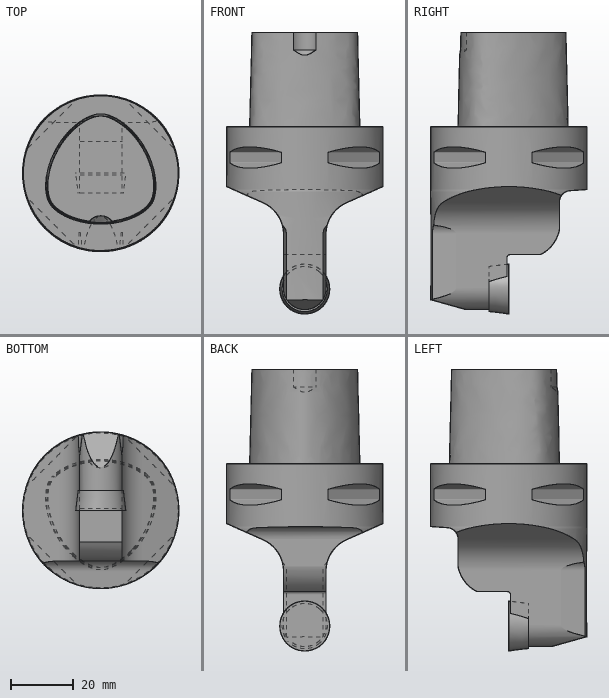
import cadquery as cq
import math


shank_length = 30.0
shank_base_radius = 17.6
shank_top_radius = 16.9
lobe_height = 1.35
outline_points = 48

notch_radius = 4.5
notch_center_y = -18.1
notch_depth = 5.6
notch_cone_height = 3.5

flange_radius = 25.0
flange_height = 20.25
flange_chamfer = 0.3
neck_top_radius = 25.1
neck_bottom_radius = 25.0
neck_step_height = 0.6

slot_count = 4
slot_floor_distance = 22.1
slot_floor_height = 3.3
slot_mouth_height = 6.8
slot_center_z = -10.0
slot_corner_radius = 0.4

blade_half_width = 6.8
tip_center_z = -51.75
flare_start_z = -34.4
flare_radius = 10.8
flare_slope = math.radians(24)

ledge_drop = 0.4
blade_back_y = 16.2
root_fillet = 3.6
back_arc_top_z = -33.1
back_arc_middle = (14.4, -37.35)
shelf_y = 10.2
shelf_z = -41.0
seat_wall_y = -0.5
shelf_fillet = 1.0
tip_slope_start_y = -13.8
tip_slope_end_z = -55.4

relief_start_y = -16.8
relief_angle = math.degrees(math.atan2(1.1, 8.5))
relief_end_radius = 3.7

insert_radius = 8.0
insert_thickness = 6.4
insert_flank_angle = math.radians(7)

insert_tip_z = shank_length - 90.0
insert_center_z = insert_tip_z + insert_radius
blade_bottom_z = tip_center_z - blade_half_width
clearance = 9.0


def lobed_point(angle, mean_radius):
    """Point on a three-lobed curve whose support distance is mean + lobe * cos(3a)."""
    support = mean_radius + lobe_height * math.cos(3 * angle)
    slope = -3 * lobe_height * math.sin(3 * angle)
    along = support * math.cos(angle) - slope * math.sin(angle)
    across = support * math.sin(angle) + slope * math.cos(angle)
    return (-across, along)


def lobed_outline(mean_radius):
    step = 2 * math.pi / outline_points
    return [lobed_point(i * step, mean_radius) for i in range(outline_points)]


def make_shank():
    shank = (
        cq.Workplane("XY")
        .spline(lobed_outline(shank_base_radius), periodic=True).close()
        .workplane(offset=shank_length)
        .spline(lobed_outline(shank_top_radius), periodic=True).close()
        .loft(ruled=True)
    )
    return shank.cut(make_notch())


def make_notch():
    """Blind drilled hole with a conical end, open to the shank side."""
    floor_z = shank_length - notch_depth
    return (
        cq.Workplane("XZ")
        .moveTo(0, floor_z - notch_cone_height)
        .lineTo(notch_radius, floor_z)
        .lineTo(notch_radius, shank_length + clearance)
        .lineTo(0, shank_length + clearance)
        .close()
        .revolve(360, (0, 0, 0), (0, 1, 0))
        .translate((0, notch_center_y, 0))
    )


def make_turned_blank():
    """Flange and neck as one turned shape before the blade is formed."""
    return (
        cq.Workplane("XZ")
        .lineTo(flange_radius - flange_chamfer, 0)
        .lineTo(flange_radius, -flange_chamfer)
        .lineTo(flange_radius, -flange_height)
        .lineTo(neck_top_radius, -flange_height - neck_step_height)
        .lineTo(neck_bottom_radius, blade_bottom_z)
        .lineTo(0, blade_bottom_z)
        .close()
        .revolve(360, (0, 0, 0), (0, 1, 0))
    )


def make_front_envelope():
    """Flared blade outline in XZ, extended through the full depth in Y."""
    center_x = blade_half_width + flare_radius

    def flare_point(turn):
        return (center_x - flare_radius * math.cos(turn), flare_start_z + flare_radius * math.sin(turn))

    full_turn = math.pi / 2 - flare_slope
    mid_x, mid_z = flare_point(full_turn / 2)
    end_x, end_z = flare_point(full_turn)
    outer_x = flange_radius + clearance
    outer_z = end_z + (outer_x - end_x) * math.tan(flare_slope)
    return (
        cq.Workplane("XZ")
        .moveTo(outer_x, clearance)
        .lineTo(outer_x, outer_z)
        .lineTo(end_x, end_z)
        .threePointArc((mid_x, mid_z), (blade_half_width, flare_start_z))
        .lineTo(blade_half_width, tip_center_z)
        .threePointArc((0, blade_bottom_z), (-blade_half_width, tip_center_z))
        .lineTo(-blade_half_width, flare_start_z)
        .threePointArc((-mid_x, mid_z), (-end_x, end_z))
        .lineTo(-outer_x, outer_z)
        .lineTo(-outer_x, clearance)
        .close()
        .extrude(flange_radius + clearance, both=True)
    )


def make_side_envelope():
    """Blade outline in YZ, extended through the full width in X."""
    arc_dip = math.sqrt(0.5)
    root_z = -flange_height - ledge_drop
    fillet_y = blade_back_y + root_fillet
    fillet_z = root_z - root_fillet
    corner_y = seat_wall_y + shelf_fillet
    corner_z = shelf_z - shelf_fillet
    tip_slope = (tip_slope_end_z - blade_bottom_z) / (flange_radius + tip_slope_start_y)
    outer_y = flange_radius + clearance
    outer_z = tip_slope_end_z + tip_slope * clearance
    return (
        cq.Workplane("YZ")
        .moveTo(outer_y, clearance)
        .lineTo(outer_y, -flange_height)
        .lineTo(flange_radius, -flange_height)
        .lineTo(fillet_y, root_z)
        .threePointArc(
            (fillet_y - root_fillet * arc_dip, fillet_z + root_fillet * arc_dip),
            (blade_back_y, fillet_z),
        )
        .lineTo(blade_back_y, back_arc_top_z)
        .threePointArc(back_arc_middle, (shelf_y, shelf_z))
        .lineTo(corner_y, shelf_z)
        .threePointArc(
            (corner_y - shelf_fillet * arc_dip, corner_z + shelf_fillet * arc_dip),
            (seat_wall_y, corner_z),
        )
        .lineTo(seat_wall_y, blade_bottom_z)
        .lineTo(tip_slope_start_y, blade_bottom_z)
        .lineTo(-outer_y, outer_z)
        .lineTo(-outer_y, clearance)
        .close()
        .extrude(flange_radius + clearance, both=True)
    )


def make_gripper_slot(angle):
    """Slot with a flat floor and flaring walls, cut square to the given direction."""
    wall_flare = (slot_mouth_height - slot_floor_height) / 2 / (flange_radius - slot_floor_distance)
    outer_distance = flange_radius + clearance
    floor_half = slot_floor_height / 2
    outer_half = floor_half + wall_flare * (outer_distance - slot_floor_distance)
    return (
        cq.Workplane("XZ")
        .moveTo(slot_floor_distance, slot_center_z - floor_half)
        .lineTo(outer_distance, slot_center_z - outer_half)
        .lineTo(outer_distance, slot_center_z + outer_half)
        .lineTo(slot_floor_distance, slot_center_z + floor_half)
        .close()
        .extrude(flange_radius, both=True)
        .faces("<X").edges("|Y").fillet(slot_corner_radius)
        .rotate((0, 0, 0), (0, 0, 1), angle)
    )


def make_blade_relief():
    """Tapering cut on the +X flank with a rounded upper end."""
    end_x = blade_half_width + relief_end_radius
    arc_offset = relief_end_radius * math.sqrt(0.5)
    return (
        cq.Workplane("XZ", origin=(0, relief_start_y, 0))
        .moveTo(blade_half_width, blade_bottom_z - clearance)
        .lineTo(blade_half_width, flare_start_z)
        .threePointArc(
            (end_x - arc_offset, flare_start_z + arc_offset),
            (end_x, flare_start_z + relief_end_radius),
        )
        .lineTo(end_x, blade_bottom_z - clearance)
        .close()
        .extrude(flange_radius)
        .rotate((blade_half_width, relief_start_y, 0), (blade_half_width, relief_start_y, 1), -relief_angle)
    )


def make_insert():
    """Round insert tapering from its cutting face at Y = 0 toward -Y."""
    back_radius = insert_radius - insert_thickness * math.tan(insert_flank_angle)
    return (
        cq.Workplane("XZ", origin=(0, 0, insert_center_z))
        .circle(insert_radius)
        .workplane(offset=insert_thickness)
        .circle(back_radius)
        .loft()
    )


def make_holder(insert):
    holder = make_turned_blank().intersect(make_front_envelope()).intersect(make_side_envelope())
    for i in range(slot_count):
        holder = holder.cut(make_gripper_slot((i + 0.5) * 360 / slot_count))
    relief = make_blade_relief()
    holder = holder.cut(relief).cut(relief.mirror("YZ"))
    return holder.union(make_shank()).cut(insert)


cutting_insert = make_insert()
holder = make_holder(cutting_insert)

result = cq.Compound.makeCompound([holder.solids().val(), cutting_insert.val()])